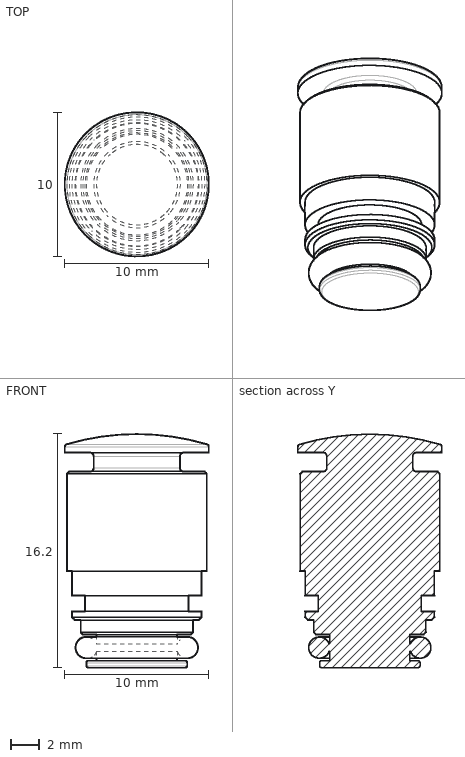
import cadquery as cq
import math

TOTAL_HEIGHT = 16.2
FOOT_TOP = 0.5
SEAL_GROOVE_TOP = 2.3
COLLAR_BOTTOM = 3.3
COLLAR_TOP = 3.9
GUIDE_BOTTOM = 5.0
SLEEVE_BOTTOM = 6.7
SLEEVE_TOP = 13.6
CAP_BOTTOM = 14.9
DOME_BASE = 15.45

FOOT_DIAMETER = 7.0
SEAL_GROOVE_DIAMETER = 5.6
PILOT_DIAMETER = 7.8
COLLAR_DIAMETER = 9.0
CLIP_GROOVE_DIAMETER = 7.2
GUIDE_DIAMETER = 9.0
SLEEVE_DIAMETER = 9.7
NECK_DIAMETER = 6.0
CAP_DIAMETER = 10.0

SEAL_SECTION_DIAMETER = 1.5
SEAL_OUTER_DIAMETER = 8.5

FOOT_FILLET = 0.15
PILOT_CHAMFER = 0.15
COLLAR_CHAMFER = 0.2
SLEEVE_CHAMFER = 0.15
NECK_FILLET = 0.25
CAP_FILLET = 0.2


def cylinder(diameter, bottom, top):
    """Solid disc or shaft section on the Z axis."""
    base = cq.Workplane("XY").workplane(offset=bottom)
    return base.circle(diameter / 2).extrude(top - bottom)


def make_foot():
    """Retaining flange under the seal, rounded on both rims."""
    return cylinder(FOOT_DIAMETER, 0, FOOT_TOP).edges("%CIRCLE").fillet(FOOT_FILLET)


def make_seal():
    """O-ring pressed slightly onto the groove floor, midway along the groove."""
    section_radius = SEAL_SECTION_DIAMETER / 2
    ring_radius = SEAL_OUTER_DIAMETER / 2 - section_radius
    mid_height = (FOOT_TOP + SEAL_GROOVE_TOP) / 2
    section = cq.Workplane("XZ").center(-ring_radius, mid_height).circle(section_radius)
    return section.revolve(360, (ring_radius, 0), (ring_radius, 1))


def make_lower_body():
    """Seal groove floor, pilot, collar, clip groove and guide."""
    groove_floor = cylinder(SEAL_GROOVE_DIAMETER, 0, SEAL_GROOVE_TOP)
    pilot = cylinder(PILOT_DIAMETER, SEAL_GROOVE_TOP, COLLAR_BOTTOM)
    pilot = pilot.faces("<Z").edges().chamfer(PILOT_CHAMFER)
    collar = cylinder(COLLAR_DIAMETER, COLLAR_BOTTOM, COLLAR_TOP)
    collar = collar.faces("<Z").edges().chamfer(COLLAR_CHAMFER)
    clip_groove = cylinder(CLIP_GROOVE_DIAMETER, COLLAR_TOP, GUIDE_BOTTOM)
    guide = cylinder(GUIDE_DIAMETER, GUIDE_BOTTOM, SLEEVE_BOTTOM)
    return groove_floor.union(pilot).union(collar).union(clip_groove).union(guide)


def make_sleeve():
    """Outer sleeve with a chamfered top edge."""
    sleeve = cylinder(SLEEVE_DIAMETER, SLEEVE_BOTTOM, SLEEVE_TOP)
    return sleeve.faces(">Z").edges().chamfer(SLEEVE_CHAMFER)


def make_neck():
    """Neck flared by a fillet at both ends."""
    radius = NECK_DIAMETER / 2
    flare_radius = radius + NECK_FILLET
    arc_inset = NECK_FILLET * (1 - math.sqrt(0.5))
    profile = (
        cq.Workplane("XZ")
        .moveTo(0, SLEEVE_TOP)
        .lineTo(flare_radius, SLEEVE_TOP)
        .threePointArc((radius + arc_inset, SLEEVE_TOP + arc_inset), (radius, SLEEVE_TOP + NECK_FILLET))
        .lineTo(radius, CAP_BOTTOM - NECK_FILLET)
        .threePointArc((radius + arc_inset, CAP_BOTTOM - arc_inset), (flare_radius, CAP_BOTTOM))
        .lineTo(0, CAP_BOTTOM)
        .close()
    )
    return profile.revolve(360, (0, 0), (0, 1))


def make_cap():
    """Flat-bottomed head with a spherical dome and a rounded rim."""
    cap_radius = CAP_DIAMETER / 2
    dome_rise = TOTAL_HEIGHT - DOME_BASE
    dome_radius = (cap_radius**2 + dome_rise**2) / (2 * dome_rise)
    dome = cq.Workplane("XY").sphere(dome_radius).translate((0, 0, TOTAL_HEIGHT - dome_radius))
    cap = cylinder(CAP_DIAMETER, CAP_BOTTOM, TOTAL_HEIGHT).intersect(dome)
    return cap.faces("%SPHERE").edges("%CIRCLE").fillet(CAP_FILLET)


result = (
    make_lower_body()
    .union(make_foot())
    .union(make_seal())
    .union(make_sleeve())
    .union(make_neck())
    .union(make_cap())
)